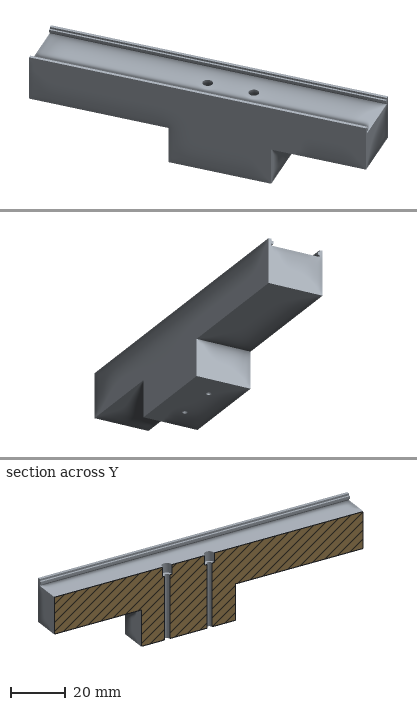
import cadquery as cq

length = 131.2
width = 22.5
height = 33.0

stem_height = 15.0
stem_length = 40.0
stem_center_x = 74.3

rail_height = 2.8
rail_thickness = 1.2
lip_reach = 0.8
lip_drop = 0.8
lip_thickness = 1.2

hole_spacing = 18.0
hole_diameter = 2.0
counterbore_diameter = 4.0
counterbore_depth = 4.0

floor_z = height - rail_height


def make_beam():
    """Solid bar from the top of the stem to the floor between the rails."""
    beam_height = floor_z - stem_height
    return cq.Workplane("XY", origin=(0, 0, stem_height)).box(
        length, width, beam_height, centered=(False, True, False)
    )


def make_stem():
    return cq.Workplane("XY", origin=(stem_center_x, 0, 0)).box(
        stem_length, width, stem_height, centered=(True, True, False)
    )


def make_rail():
    """Rail on the +Y edge, with a small lip pointing inward along its length."""
    outer_y = width / 2
    inner_y = outer_y - rail_thickness
    lip_y = inner_y - lip_reach
    lip_top = height - lip_drop
    lip_bottom = lip_top - lip_thickness
    profile = [
        (outer_y, floor_z),
        (outer_y, height),
        (inner_y, height),
        (inner_y, lip_top),
        (lip_y, lip_top),
        (lip_y, lip_bottom),
        (inner_y, lip_bottom),
        (inner_y, floor_z),
    ]
    return cq.Workplane("YZ").polyline(profile).close().extrude(length)


rail = make_rail()
body = make_beam().union(make_stem()).union(rail).union(rail.mirror("XZ"))

hole_centers = [(stem_center_x + side * hole_spacing / 2, 0) for side in (-1, 1)]
result = (
    body.copyWorkplane(cq.Workplane("XY", origin=(0, 0, floor_z)))
    .pushPoints(hole_centers)
    .cboreHole(hole_diameter, counterbore_diameter, counterbore_depth)
)